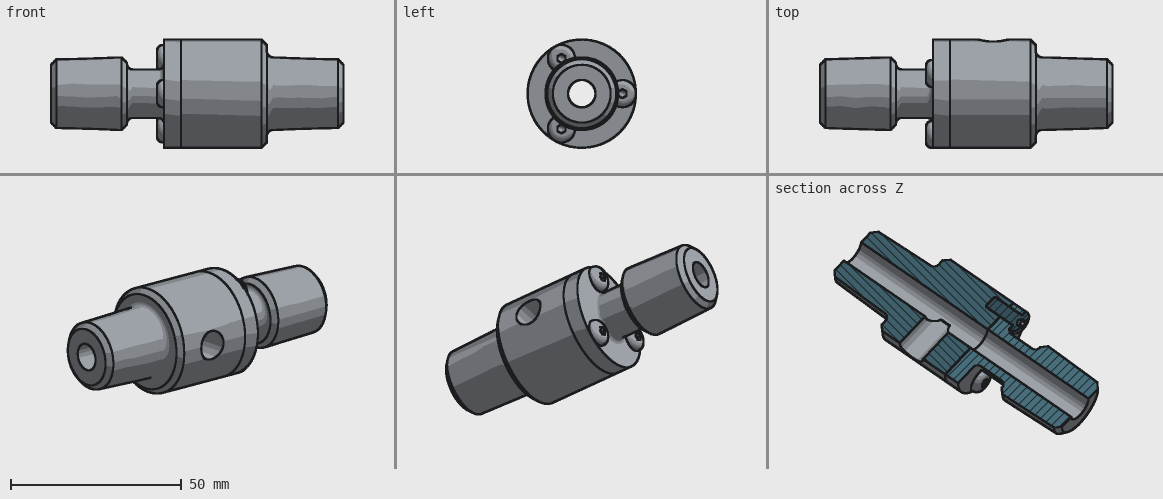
import cadquery as cq
import math

LENGTH = 85.65
BODY_DIA = 31.8
BORE_DIA = 8.0
CHAMFER = 1.6

STUB_DIA = 21.3
TAPER_ON_DIA = 1 / 16
STUB_RADIUS = STUB_DIA / 2

TAPER_END_X = 19.6
STUB_LAND = 1.0
NECK_DIA = 14.3
NECK_FILLET = 1.5
FLANGE_X = 33.1
FLANGE_THICKNESS = 5.0

JOINT_X = FLANGE_X + FLANGE_THICKNESS
BARREL_END_X = 63.2
HOUSING_FILLET = 1.8
HOUSING_LAND = 0.8
PORT_DIA = 8.65
PORT_X = 50.7

SCREW_COUNT = 3
HEAD_DIA = 8.0
HEAD_FLAT_DIA = 4.5
HEAD_HEIGHT = 2.05
HEAD_RIM = 0.25
SHANK_DIA = 4.1
SHANK_LENGTH = 10.3
SOCKET_ACROSS_CORNERS = 2.65
SOCKET_DEPTH = 1.3
SOCKET_POINT_ANGLE = 120
SCREW_CIRCLE_RADIUS = (BODY_DIA - HEAD_DIA) / 2


def tip_radius(taper_length):
    """Radius of a stub at the small end of its taper."""
    return STUB_RADIUS - taper_length * TAPER_ON_DIA / 2


def revolve_about_x(profile):
    """Revolve a closed XY profile a full turn about the X axis."""
    return profile.close().revolve(360, (0, 0, 0), (1, 0, 0))


def fillet_mid(center_x, center_r, radius, side):
    """Middle point of a concave fillet; side is the X direction away from its centre."""
    offset = radius * math.sqrt(0.5)
    return center_x + side * offset, center_r - offset


def make_spindle_blank():
    tip = tip_radius(TAPER_END_X - CHAMFER)
    land_end = TAPER_END_X + STUB_LAND
    shoulder = land_end + CHAMFER
    neck = NECK_DIA / 2
    neck_start = shoulder + NECK_FILLET
    neck_end = FLANGE_X - NECK_FILLET
    fillet_top = neck + NECK_FILLET
    return revolve_about_x(
        cq.Workplane("XY")
        .moveTo(0, BORE_DIA / 2)
        .lineTo(0, tip - CHAMFER)
        .lineTo(CHAMFER, tip)
        .lineTo(TAPER_END_X, STUB_RADIUS)
        .lineTo(land_end, STUB_RADIUS)
        .lineTo(shoulder, STUB_RADIUS - CHAMFER)
        .lineTo(shoulder, fillet_top)
        .threePointArc(fillet_mid(neck_start, fillet_top, NECK_FILLET, -1), (neck_start, neck))
        .lineTo(neck_end, neck)
        .threePointArc(fillet_mid(neck_end, fillet_top, NECK_FILLET, 1), (FLANGE_X, fillet_top))
        .lineTo(FLANGE_X, BODY_DIA / 2)
        .lineTo(JOINT_X, BODY_DIA / 2)
        .lineTo(JOINT_X, BORE_DIA / 2)
    )


def make_housing_blank():
    land_start = BARREL_END_X + HOUSING_FILLET
    taper_start = land_start + HOUSING_LAND
    chamfer_x = LENGTH - CHAMFER
    tip = tip_radius(chamfer_x - taper_start)
    fillet_top = STUB_RADIUS + HOUSING_FILLET
    barrel = BODY_DIA / 2
    blank = revolve_about_x(
        cq.Workplane("XY")
        .moveTo(JOINT_X, BORE_DIA / 2)
        .lineTo(JOINT_X, barrel)
        .lineTo(BARREL_END_X - CHAMFER, barrel)
        .lineTo(BARREL_END_X, barrel - CHAMFER)
        .lineTo(BARREL_END_X, fillet_top)
        .threePointArc(
            fillet_mid(land_start, fillet_top, HOUSING_FILLET, -1), (land_start, STUB_RADIUS)
        )
        .lineTo(taper_start, STUB_RADIUS)
        .lineTo(chamfer_x, tip)
        .lineTo(LENGTH, tip - CHAMFER)
        .lineTo(LENGTH, BORE_DIA / 2)
    )
    port = (
        cq.Workplane("XZ", origin=(PORT_X, 0, 0))
        .circle(PORT_DIA / 2)
        .extrude(-BODY_DIA / 2)
    )
    return blank.cut(port)


def make_screw_blank(angle):
    """Screw without its socket, at the given angle about X measured from -Y."""
    head_top = FLANGE_X - HEAD_HEIGHT
    shank_end = FLANGE_X + SHANK_LENGTH
    screw = revolve_about_x(
        cq.Workplane("XY")
        .moveTo(head_top, 0)
        .lineTo(shank_end, 0)
        .lineTo(shank_end, SHANK_DIA / 2)
        .lineTo(FLANGE_X, SHANK_DIA / 2)
        .lineTo(FLANGE_X, HEAD_DIA / 2)
        .lineTo(FLANGE_X - HEAD_RIM, HEAD_DIA / 2)
        .tangentArcPoint((head_top, HEAD_FLAT_DIA / 2), relative=False)
    )
    return place_on_circle(screw, angle)


def make_socket(angle):
    """Hexagonal socket volume with a conical bottom for the screw at the given angle."""
    head_top = FLANGE_X - HEAD_HEIGHT
    corner_radius = SOCKET_ACROSS_CORNERS / 2
    cone_x = head_top + SOCKET_DEPTH
    tip_x = cone_x + corner_radius / math.tan(math.radians(SOCKET_POINT_ANGLE / 2))
    hexagon = (
        cq.Workplane("YZ", origin=(head_top, 0, 0))
        .transformed(rotate=(0, 0, 90))
        .polygon(6, SOCKET_ACROSS_CORNERS)
        .extrude(tip_x - head_top)
    )
    pointed_round = revolve_about_x(
        cq.Workplane("XY")
        .moveTo(head_top, 0)
        .lineTo(head_top, corner_radius)
        .lineTo(cone_x, corner_radius)
        .lineTo(tip_x, 0)
    )
    socket = hexagon.intersect(pointed_round)
    return place_on_circle(socket, angle)


def place_on_circle(shape, angle):
    """Move a shape from the X axis to the screw circle without turning it."""
    y = -SCREW_CIRCLE_RADIUS * math.cos(math.radians(angle))
    z = SCREW_CIRCLE_RADIUS * math.sin(math.radians(angle))
    return shape.translate((0, y, z))


spindle = make_spindle_blank()
housing = make_housing_blank()
screws = []
for index in range(SCREW_COUNT):
    screw_angle = index * 360 / SCREW_COUNT
    screw_blank = make_screw_blank(screw_angle)
    spindle = spindle.cut(screw_blank)
    housing = housing.cut(screw_blank)
    screws.append(screw_blank.cut(make_socket(screw_angle)))

result = cq.Compound.makeCompound(
    [spindle.val(), housing.val(), *[screw.val() for screw in screws]]
)